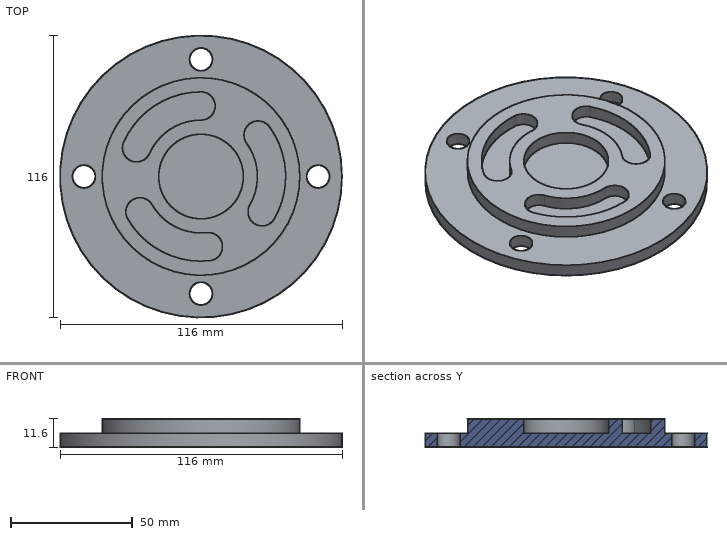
import cadquery as cq
import math

flange_diameter = 116.0
flange_thickness = 5.805

boss_diameter = 81.2
boss_height = flange_thickness
top_z = flange_thickness + boss_height

pocket_diameter = 34.8
pocket_depth = boss_height

bolt_hole_count = 4
bolt_hole_diameter = 9.28
bolt_circle_diameter = 96.28

slot_count = 3
slot_path_radius = 29.0
slot_width = 11.6
slot_depth = boss_height
slot_start_angle = 90.0
slot_span_angle = 66.0


def polar_point(radius, angle):
    """Point at the given radius and angle in degrees from +X."""
    return (
        radius * math.cos(math.radians(angle)),
        radius * math.sin(math.radians(angle)),
    )


def make_body():
    flange = cq.Workplane("XY").circle(flange_diameter / 2).extrude(flange_thickness)
    return flange.faces(">Z").workplane().circle(boss_diameter / 2).extrude(boss_height)


def make_central_pocket():
    floor = cq.Workplane("XY").workplane(offset=top_z - pocket_depth)
    return floor.circle(pocket_diameter / 2).extrude(pocket_depth)


def make_bolt_holes():
    return (
        cq.Workplane("XY")
        .polarArray(bolt_circle_diameter / 2, 0, 360, bolt_hole_count)
        .circle(bolt_hole_diameter / 2)
        .extrude(flange_thickness)
    )


def make_curved_slot(start_angle):
    """Slot following an arc about the part axis, counter-clockwise from start_angle."""
    end_angle = start_angle + slot_span_angle
    middle_angle = start_angle + slot_span_angle / 2
    inner_radius = slot_path_radius - slot_width / 2
    outer_radius = slot_path_radius + slot_width / 2

    end_x, end_y = polar_point(slot_path_radius, end_angle)
    end_bulge_x, end_bulge_y = polar_point(slot_width / 2, end_angle + 90)
    start_x, start_y = polar_point(slot_path_radius, start_angle)
    start_bulge_x, start_bulge_y = polar_point(slot_width / 2, start_angle - 90)

    return (
        cq.Workplane("XY")
        .workplane(offset=top_z - slot_depth)
        .moveTo(*polar_point(outer_radius, start_angle))
        .threePointArc(polar_point(outer_radius, middle_angle), polar_point(outer_radius, end_angle))
        .threePointArc((end_x + end_bulge_x, end_y + end_bulge_y), polar_point(inner_radius, end_angle))
        .threePointArc(polar_point(inner_radius, middle_angle), polar_point(inner_radius, start_angle))
        .threePointArc(
            (start_x + start_bulge_x, start_y + start_bulge_y),
            polar_point(outer_radius, start_angle),
        )
        .close()
        .extrude(slot_depth)
    )


result = make_body().cut(make_central_pocket()).cut(make_bolt_holes())
for slot_index in range(slot_count):
    slot_angle = slot_start_angle + slot_index * 360 / slot_count
    result = result.cut(make_curved_slot(slot_angle))